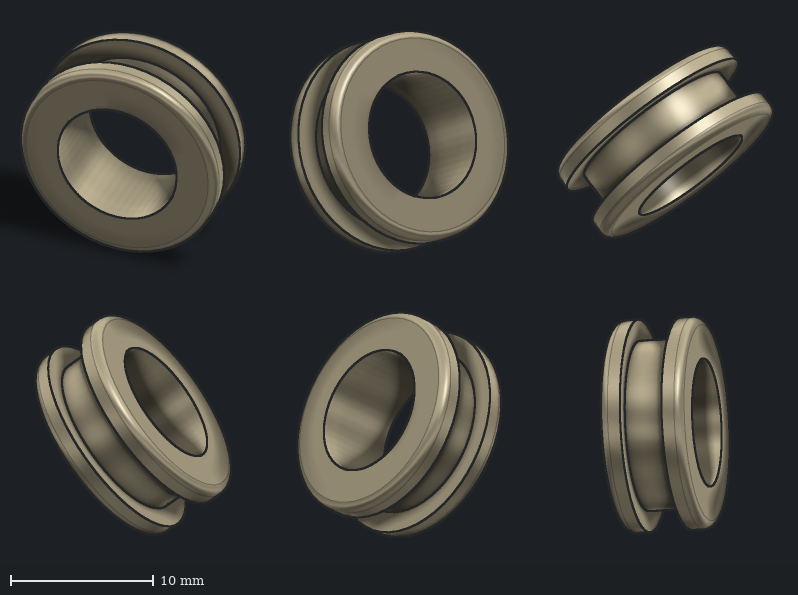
import cadquery as cq

outer_diameter = 15.0
groove_diameter = 12.0
bore_diameter = 9.0
width = 6.0
flange_thickness = 1.5
edge_radius = 0.6

groove_width = width - 2 * flange_thickness


def cylinder_along_y(diameter, length):
    """Solid cylinder on the Y axis, centred on the origin."""
    start_face = cq.Workplane("XZ", origin=(0, length / 2, 0))
    return start_face.circle(diameter / 2).extrude(length)


body = cylinder_along_y(outer_diameter, width).faces("<Y or >Y").edges().fillet(edge_radius)

groove = cylinder_along_y(outer_diameter, groove_width).cut(
    cylinder_along_y(groove_diameter, groove_width)
)

bore = cylinder_along_y(bore_diameter, width)

result = body.cut(groove).cut(bore)